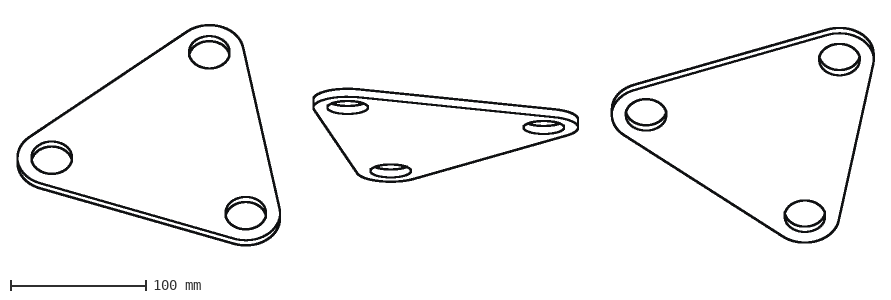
import cadquery as cq
import math

overall_width = 203.2
corner_radius = 25.5
hole_diameter = 30.0
thickness = 6.3

hole_spacing = overall_width - 2 * corner_radius
triangle_height = hole_spacing * math.sqrt(3) / 2
base_y = -triangle_height / 3
apex_y = base_y + triangle_height
hole_centres = [
    (-hole_spacing / 2, base_y),
    (hole_spacing / 2, base_y),
    (0, apex_y),
]

plate = (
    cq.Workplane("XY")
    .polyline(hole_centres)
    .close()
    .offset2D(corner_radius, "arc")
    .extrude(thickness)
)

holes = (
    cq.Workplane("XY")
    .pushPoints(hole_centres)
    .circle(hole_diameter / 2)
    .extrude(thickness)
)

result = plate.cut(holes)